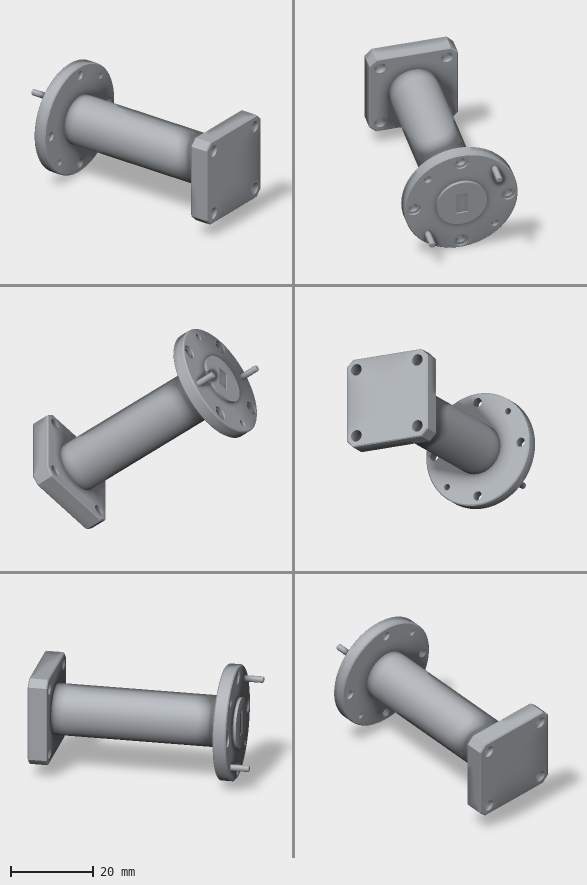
import cadquery as cq
import math

overall_length = 54.65

disc_diameter = 28.6
disc_thickness = 3.35
disc_edge_chamfer = 0.3
tube_diameter = 12.7
boss_height = 0.8

plate_side = 22.35
plate_thickness = 4.85
plate_corner_chamfer = 1.75
plate_edge_chamfer = 0.3
plate_hole_diameter = 2.9

bolt_circle_diameter = 23.85
bolt_hole_diameter = 2.3
counterbore_diameter = 3.6
counterbore_depth = 0.55

pin_diameter = 1.6
pin_projection = 4.65
pin_tip_chamfer = 0.15
pin_angles = (135, 315)
dowel_hole_chamfer = 0.15
rim_taper = 45

window_width = 2.85
window_height = 5.8
window_depth = 0.35

disc_front = pin_projection
disc_back = disc_front + disc_thickness
boss_front = disc_front - boss_height
plate_front = overall_length - plate_thickness

bolt_circle_radius = bolt_circle_diameter / 2
bolt_angles = (0, 90, 180, 270)
diagonal_angles = (45, 135, 225, 315)


def plane_at(x):
    """Plane facing +X at the given x, with local axes along Y and Z."""
    return cq.Workplane("YZ", origin=(x, 0, 0))


def circle_points(angles):
    """Points (y, z) on the bolt circle at the given angles from +Y."""
    return [
        (
            bolt_circle_radius * math.cos(math.radians(angle)),
            bolt_circle_radius * math.sin(math.radians(angle)),
        )
        for angle in angles
    ]


def cylinders(x, length, diameter, angles):
    """Cylinders along X, spread over the bolt circle."""
    return plane_at(x).pushPoints(circle_points(angles)).circle(diameter / 2).extrude(length)


def dowel_holes():
    """Through holes in the disc with chamfered front rims, the size of the pins."""
    holes = cylinders(disc_front, disc_thickness, pin_diameter, diagonal_angles)
    rims = (
        plane_at(disc_front)
        .pushPoints(circle_points(diagonal_angles))
        .circle(pin_diameter / 2 + dowel_hole_chamfer)
        .extrude(dowel_hole_chamfer, taper=rim_taper)
    )
    return holes.union(rims)


def make_disc():
    """Round disc with counterbored bolt holes between its four dowel holes."""
    disc = plane_at(disc_front).circle(disc_diameter / 2).extrude(disc_thickness)
    disc = disc.edges().chamfer(disc_edge_chamfer)
    bolt_holes = cylinders(disc_front, disc_thickness, bolt_hole_diameter, bolt_angles)
    counterbores = cylinders(disc_front, counterbore_depth, counterbore_diameter, bolt_angles)
    return disc.cut(bolt_holes).cut(counterbores).cut(dowel_holes())


def make_plate():
    """Square plate with cut corners and a through hole near each corner."""
    plate = plane_at(plate_front).rect(plate_side, plate_side).extrude(plate_thickness)
    plate = plate.edges("|X").chamfer(plate_corner_chamfer)
    plate = plate.faces("<X or >X").chamfer(plate_edge_chamfer)
    return plate.cut(cylinders(plate_front, plate_thickness, plate_hole_diameter, diagonal_angles))


def make_waveguide():
    """Tube with its boss, round disc, square plate and blind window."""
    tube = plane_at(boss_front).circle(tube_diameter / 2).extrude(plate_front - boss_front)
    window = plane_at(boss_front).rect(window_width, window_height).extrude(window_depth)
    return make_disc().union(tube).union(make_plate()).cut(window)


def make_pin(angle):
    """Pin that fills one of the dowel holes and sticks out in front."""
    pin = cylinders(0, disc_back, pin_diameter, (angle,))
    return pin.faces("<X").chamfer(pin_tip_chamfer)


waveguide = make_waveguide()
pins = [make_pin(angle) for angle in pin_angles]

result = cq.Compound.makeCompound([waveguide.val(), *[pin.val() for pin in pins]])